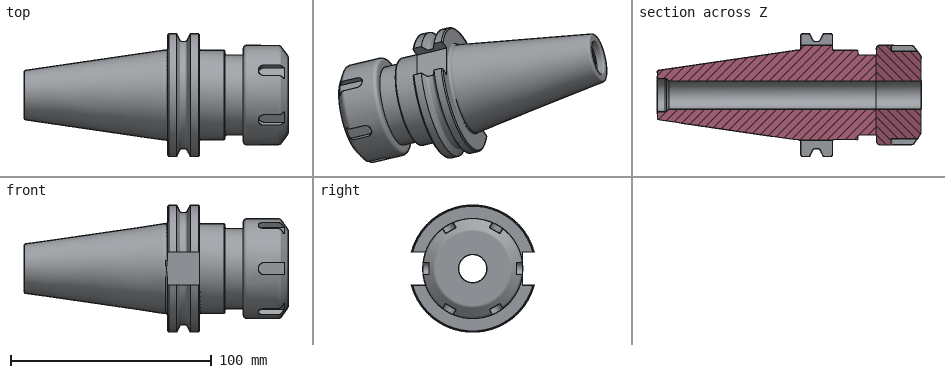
import cadquery as cq
import math

TAPER_END = 69.3
FLANGE_START = 71.5
FLANGE_END = 87.5
NECK_END = 100.3
NUT_START = 109.2
NUT_END = 131.8

TAPER_RATIO = 7 / 24
TAPER_LARGE_DIAMETER = 44.8
TAPER_SMALL_DIAMETER = TAPER_LARGE_DIAMETER - TAPER_RATIO * TAPER_END
SMALL_END_FILLET = 1.0
FLANGE_DIAMETER = 63.5
FLANGE_CHAMFER = 0.7
FLANGE_ROOT_FILLET = 1.0
NECK_DIAMETER = 44.8
NECK_CHAMFER = 0.5
NECK_ROOT_FILLET = 0.5
SHANK_DIAMETER = 40.0

GROOVE_CENTRE = 79.5
GROOVE_FLOOR_DIAMETER = 56.1
GROOVE_FLOOR_WIDTH = 3.0
GROOVE_WALL_ANGLE = 27
GROOVE_FLOOR_FILLET = 0.9

DRIVE_SLOT_WIDTH = 16.5
FRONT_SLOT_FLOOR = 22.5
BACK_SLOT_FLOOR = 24.9

BORE_DIAMETER = 14.0
PILOT_DIAMETER = 16.5
PILOT_DEPTH = 4.0
PILOT_MOUTH_FILLET = 0.9
PILOT_LAND_DIAMETER = 16.3
PILOT_LAND_LENGTH = 0.7
PILOT_CONE_LENGTH = 1.3

NUT_DIAMETER = 50.0
NUT_FILLET = 2.0
NUT_NOSE_DIAMETER = 38.3
NUT_NOSE_LENGTH = 4.1
NUT_SLOT_COUNT = 6
NUT_SLOT_WIDTH = 6.0
NUT_SLOT_START = 116.7
NUT_SLOT_FLOOR = 21.9

SELECTION_MARGIN = 0.01
CUT_MARGIN = 1.3


def revolved(profile):
    """Turn a closed (x, radius) profile about the X axis."""
    return profile.close().revolve(360, (0, 0, 0), (1, 0, 0))


def cylinder(start, end, diameter):
    return cq.Workplane("YZ", origin=(start, 0, 0)).circle(diameter / 2).extrude(end - start)


def circles_at(x, diameter):
    """Selector for the circular edge of the given diameter in the plane at x."""
    half = diameter / 2 + SELECTION_MARGIN
    low = (x - SELECTION_MARGIN, -half, -half)
    high = (x + SELECTION_MARGIN, half, half)
    return cq.selectors.BoxSelector(low, high, boundingbox=True)


def make_taper():
    taper = revolved(
        cq.Workplane("XY")
        .lineTo(0, TAPER_SMALL_DIAMETER / 2)
        .lineTo(TAPER_END, TAPER_LARGE_DIAMETER / 2)
        .lineTo(FLANGE_START, TAPER_LARGE_DIAMETER / 2)
        .lineTo(FLANGE_START, 0)
    )
    return taper.edges(circles_at(0, TAPER_SMALL_DIAMETER)).fillet(SMALL_END_FILLET)


def make_flange():
    flange = cylinder(FLANGE_START, FLANGE_END, FLANGE_DIAMETER).edges("%CIRCLE").chamfer(FLANGE_CHAMFER)
    return flange.cut(make_groove())


def make_groove():
    floor_radius = GROOVE_FLOOR_DIAMETER / 2
    top_radius = FLANGE_DIAMETER / 2 + CUT_MARGIN
    half_floor = GROOVE_FLOOR_WIDTH / 2
    half_top = half_floor + (top_radius - floor_radius) * math.tan(math.radians(GROOVE_WALL_ANGLE))
    ring = revolved(
        cq.Workplane("XY")
        .moveTo(GROOVE_CENTRE - half_floor, floor_radius)
        .lineTo(GROOVE_CENTRE + half_floor, floor_radius)
        .lineTo(GROOVE_CENTRE + half_top, top_radius)
        .lineTo(GROOVE_CENTRE - half_top, top_radius)
    )
    floor_edges = ring.edges(cq.selectors.RadiusNthSelector(0))
    return floor_edges.fillet(GROOVE_FLOOR_FILLET)


def make_neck_and_shank():
    neck = cylinder(FLANGE_START, NECK_END, NECK_DIAMETER).faces(">X").edges().chamfer(NECK_CHAMFER)
    shank = cylinder(NECK_END, NUT_START, SHANK_DIAMETER)
    stepped = neck.union(shank)
    return stepped.edges(circles_at(NECK_END, SHANK_DIAMETER)).fillet(NECK_ROOT_FILLET)


def make_drive_slot(side, floor):
    """Slot through the flange and its root fillet on the given Y side (-1 or +1)."""
    start = FLANGE_START - FLANGE_ROOT_FILLET
    length = FLANGE_END - start
    depth = FLANGE_DIAMETER / 2 - floor
    centre = ((start + FLANGE_END) / 2, side * (floor + depth / 2), 0)
    return cq.Workplane("XY", origin=centre).box(length, depth, DRIVE_SLOT_WIDTH)


def make_stepped_bore():
    cone_start = PILOT_DEPTH + PILOT_LAND_LENGTH
    cone_end = cone_start + PILOT_CONE_LENGTH
    mouth_radius = PILOT_DIAMETER / 2 + PILOT_MOUTH_FILLET
    arc_offset = PILOT_MOUTH_FILLET * (1 - math.sqrt(0.5))
    return revolved(
        cq.Workplane("XY")
        .lineTo(0, mouth_radius)
        .threePointArc(
            (arc_offset, PILOT_DIAMETER / 2 + arc_offset),
            (PILOT_MOUTH_FILLET, PILOT_DIAMETER / 2),
        )
        .lineTo(PILOT_DEPTH, PILOT_DIAMETER / 2)
        .lineTo(PILOT_DEPTH, PILOT_LAND_DIAMETER / 2)
        .lineTo(cone_start, PILOT_LAND_DIAMETER / 2)
        .lineTo(cone_end, BORE_DIAMETER / 2)
        .lineTo(NUT_START, BORE_DIAMETER / 2)
        .lineTo(NUT_START, 0)
    )


def make_holder():
    body = make_taper().union(make_flange()).union(make_neck_and_shank())
    body = body.edges(circles_at(FLANGE_START, TAPER_LARGE_DIAMETER)).fillet(FLANGE_ROOT_FILLET)
    body = body.edges(circles_at(FLANGE_END, NECK_DIAMETER)).fillet(NECK_ROOT_FILLET)
    body = body.cut(make_drive_slot(-1, FRONT_SLOT_FLOOR))
    body = body.cut(make_drive_slot(1, BACK_SLOT_FLOOR))
    return body.cut(make_stepped_bore())


def make_nut_slot(angle):
    """Radial spanner slot with a round end, running out through the nose cone."""
    length = NUT_END - NUT_SLOT_START
    radius = NUT_SLOT_WIDTH / 2
    depth = NUT_DIAMETER / 2
    slot = (
        cq.Workplane("XY", origin=(NUT_SLOT_START, 0, NUT_SLOT_FLOOR))
        .moveTo(length, -radius)
        .lineTo(radius, -radius)
        .threePointArc((0, 0), (radius, radius))
        .lineTo(length, radius)
        .close()
        .extrude(depth)
    )
    return slot.rotate((0, 0, 0), (1, 0, 0), angle)


def make_nut():
    nose_start = NUT_END - NUT_NOSE_LENGTH
    nut = revolved(
        cq.Workplane("XY")
        .moveTo(NUT_START, 0)
        .lineTo(NUT_START, NUT_DIAMETER / 2)
        .lineTo(nose_start, NUT_DIAMETER / 2)
        .lineTo(NUT_END, NUT_NOSE_DIAMETER / 2)
        .lineTo(NUT_END, 0)
    )
    nut = nut.edges("%CIRCLE").fillet(NUT_FILLET)
    for index in range(NUT_SLOT_COUNT):
        angle = 90 + index * 360 / NUT_SLOT_COUNT
        nut = nut.cut(make_nut_slot(angle))
    return nut.cut(cylinder(NUT_START, NUT_END, BORE_DIAMETER))


holder = make_holder()
nut = make_nut()
result = cq.Compound.makeCompound([holder.val(), nut.val()])